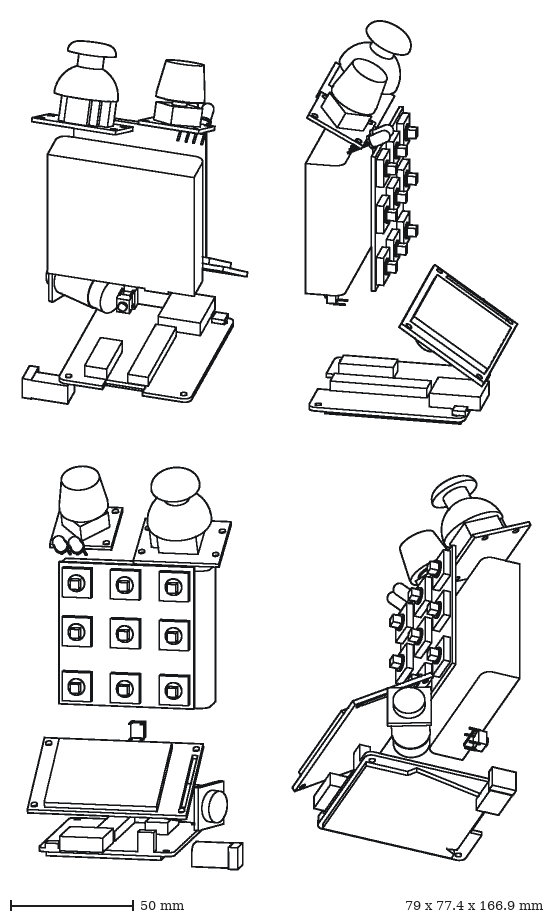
import cadquery as cq
import math

BOARD_THICKNESS = 1.7
MOUNT_HOLE_DIAMETER = 2.5
CONTROL_TILT = 27.6



def tilted_plane(x, y, z, tilt):
    """Plane turned about X so that its normal leans toward +Y; its local y runs toward +Y and down."""
    angle = math.radians(tilt)
    return cq.Plane(origin=(x, y, z), xDir=(1, 0, 0), normal=(0, math.sin(angle), math.cos(angle)))


def block(x_range, y_range, z_range):
    """Axis-aligned box between the given limits."""
    (x0, x1), (y0, y1), (z0, z1) = x_range, y_range, z_range
    return cq.Workplane("XY").box(x1 - x0, y1 - y0, z1 - z0, centered=False).translate((x0, y0, z0))


def raised(plane, height):
    """Copy of a plane moved along its normal."""
    return cq.Plane(origin=plane.toWorldCoords((0, 0, height)), xDir=plane.xDir, normal=plane.zDir)


def end_edges(solid, plane):
    """Edges of the end face that lies farthest along the normal of the plane."""
    return solid.faces(cq.selectors.DirectionMinMaxSelector(plane.zDir, True)).edges()


def disc(plane, diameter, base, height, x=0):
    """Cylinder standing on a plane, starting at the given height above it."""
    return cq.Workplane(raised(plane, base)).center(x, 0).circle(diameter / 2).extrude(height)


def panel(plane, size, hole_spacing, thickness=BOARD_THICKNESS):
    """Board whose top face lies on the plane, with four mounting holes."""
    plate = cq.Workplane(plane).rect(*size).extrude(-thickness)
    holes = (
        cq.Workplane(plane)
        .rect(*hole_spacing, forConstruction=True)
        .vertices()
        .circle(MOUNT_HOLE_DIAMETER / 2)
        .extrude(-thickness)
    )
    return plate.cut(holes)



JOYSTICK_PANEL_SIZE = (35.7, 27.9)
JOYSTICK_HOLE_SPACING = (30.9, 15.4)
JOYSTICK_PLANE = tilted_plane(-12.8, -25.2, 51.2, CONTROL_TILT)
GIMBAL_SIZE = 16.4
GIMBAL_HEIGHT = 10.7
SENSOR_WIDTH = 9.7
SENSOR_DEPTH = 3.7
DOME_DIAMETER = 26.4
STEM_DIAMETER = 10.5
CAP_DIAMETER = 20.0
CAP_BASE = 28.5
CAP_THICKNESS = 4.2
CAP_ROUND = 4.0


def make_joystick():
    """Panel, gimbal box with two side sensors, hemispherical dome, stem and thumb cap."""
    board = panel(JOYSTICK_PLANE, JOYSTICK_PANEL_SIZE, JOYSTICK_HOLE_SPACING)
    sensor_offset = (GIMBAL_SIZE + SENSOR_DEPTH) / 2
    base = cq.Workplane(JOYSTICK_PLANE)
    gimbal = base.rect(GIMBAL_SIZE, GIMBAL_SIZE).extrude(GIMBAL_HEIGHT)
    front_sensor = base.center(0, -sensor_offset).rect(SENSOR_WIDTH, SENSOR_DEPTH).extrude(GIMBAL_HEIGHT)
    side_sensor = base.center(sensor_offset, 0).rect(SENSOR_DEPTH, SENSOR_WIDTH).extrude(GIMBAL_HEIGHT)
    dome_radius = DOME_DIAMETER / 2
    dome_plane = raised(JOYSTICK_PLANE, GIMBAL_HEIGHT)
    dome = (
        cq.Workplane(dome_plane)
        .sphere(dome_radius)
        .intersect(disc(dome_plane, DOME_DIAMETER, 0, dome_radius))
    )
    stem = disc(JOYSTICK_PLANE, STEM_DIAMETER, GIMBAL_HEIGHT, CAP_BASE - GIMBAL_HEIGHT)
    cap = disc(JOYSTICK_PLANE, CAP_DIAMETER, CAP_BASE, CAP_THICKNESS)
    cap = end_edges(cap, JOYSTICK_PLANE).fillet(CAP_ROUND)
    joystick = board
    for piece in (gimbal, front_sensor, side_sensor, dome, stem, cap):
        joystick = joystick.union(piece)
    return joystick



POT_PLANE = tilted_plane(26.7, -22.9, 56.4, CONTROL_TILT)
POT_PANEL_SIZE = (25.7, 25.7)
POT_HOLE_SPACING = (20.7, 20.7)
POT_BOX_SIZE = 14.0
POT_BOX_HEIGHT = 7.5
POT_SHAFT_DIAMETER = 6.0
KNOB_BASE = 10.0
KNOB_COLLAR_HEIGHT = 0.7
KNOB_COLLAR_DIAMETER = 13.0
KNOB_RIM_HEIGHT = 1.7
KNOB_HEIGHT = 15.0
KNOB_DIAMETER = 20.0
KNOB_TOP_DIAMETER = 15.7

LED_TILT = 90 - CONTROL_TILT
LED_X_POSITIONS = (27.5, 34.2)
LED_FLANGE_Y = -9.7
LED_FLANGE_Z = 50.0
LED_DIAMETER = 5.0
LED_TIP_ROUND = 2.3
LED_LENGTH = 9.0
LED_FLANGE_DIAMETER = 5.7
LED_FLANGE_THICKNESS = 1.0
LEG_DIAMETER = 0.72
LEG_LENGTH = 10.0
LEG_SPACING = 3.5


def make_led(x):
    """Domed LED with a flange and two long legs, lying along its tilted axis."""
    plane = tilted_plane(x, LED_FLANGE_Y, LED_FLANGE_Z, LED_TILT)
    led = disc(plane, LED_DIAMETER, 0, LED_LENGTH)
    led = end_edges(led, plane).fillet(LED_TIP_ROUND)
    led = led.union(disc(plane, LED_FLANGE_DIAMETER, 0, LED_FLANGE_THICKNESS))
    for side in (-1, 1):
        led = led.union(disc(plane, LEG_DIAMETER, 0, -LEG_LENGTH, x=side * LEG_SPACING / 2))
    return led


def make_pot_panel():
    """Panel with a potentiometer turned by 45 degrees and the LEDs whose legs meet its lower edge."""
    body = panel(POT_PLANE, POT_PANEL_SIZE, POT_HOLE_SPACING)
    box = cq.Workplane(POT_PLANE.rotated((0, 0, 45))).rect(POT_BOX_SIZE, POT_BOX_SIZE).extrude(POT_BOX_HEIGHT)
    shaft = disc(POT_PLANE, POT_SHAFT_DIAMETER, 0, KNOB_BASE - KNOB_COLLAR_HEIGHT)
    body = body.union(box).union(shaft)
    for x in LED_X_POSITIONS:
        body = body.union(make_led(x))
    return body


def make_knob():
    """Tapered knob with a straight rim and a low collar, sitting on the potentiometer shaft."""
    collar = disc(POT_PLANE, KNOB_COLLAR_DIAMETER, KNOB_BASE - KNOB_COLLAR_HEIGHT, KNOB_COLLAR_HEIGHT)
    rim = disc(POT_PLANE, KNOB_DIAMETER, KNOB_BASE, KNOB_RIM_HEIGHT)
    grip = (
        cq.Workplane(raised(POT_PLANE, KNOB_BASE + KNOB_RIM_HEIGHT))
        .circle(KNOB_DIAMETER / 2)
        .workplane(offset=KNOB_HEIGHT - KNOB_RIM_HEIGHT)
        .circle(KNOB_TOP_DIAMETER / 2)
        .loft()
    )
    return collar.union(rim).union(grip)



BUTTON_BOARD_FRONT = -9.0
BUTTON_BOARD_X = (-21.5, 34.9)
BUTTON_BOARD_Z = (-15.0, 44.0)
BUTTON_COLUMNS = (-13.7, 6.7, 26.9)
BUTTON_ROWS = (36.2, 15.9, -7.0)
BUTTON_BODY_SIZE = 12.0
BUTTON_BODY_DEPTH = 3.0
BUTTON_DISC_DIAMETER = 6.8
BUTTON_DISC_DEPTH = 0.5
BUTTON_KEY_SIZE = 3.7
BUTTON_KEY_DEPTH = 3.7


def make_button_board():
    """Upright board with a grid of push buttons facing +Y."""
    back = BUTTON_BOARD_FRONT + BOARD_THICKNESS
    board = block(BUTTON_BOARD_X, (BUTTON_BOARD_FRONT, back), BUTTON_BOARD_Z)
    ring_reach = BUTTON_BODY_DEPTH + BUTTON_DISC_DEPTH
    key_reach = ring_reach + BUTTON_KEY_DEPTH
    for x in BUTTON_COLUMNS:
        for z in BUTTON_ROWS:
            spot = cq.Workplane(cq.Plane(origin=(x, back, z), xDir=(1, 0, 0), normal=(0, 1, 0)))
            body = spot.rect(BUTTON_BODY_SIZE, BUTTON_BODY_SIZE).extrude(BUTTON_BODY_DEPTH)
            ring = spot.circle(BUTTON_DISC_DIAMETER / 2).extrude(ring_reach)
            key = spot.rect(BUTTON_KEY_SIZE, BUTTON_KEY_SIZE).extrude(key_reach)
            board = board.union(body).union(ring).union(key)
    return board



BATTERY_X = (-24.7, 37.9)
BATTERY_FRONT = -35.9
BATTERY_BACK = -20.0
BATTERY_BOTTOM = -17.2
BATTERY_TOP = 40.0
BATTERY_EDGE_ROUND = 4.2
TAB_X = (16.9, 26.9)
TAB_DEPTH = 3.8
TAB_HEIGHT = 1.0


def make_battery():
    """Flat battery, rounded along its rear upright edges, with a contact tab under it."""
    pack = block(BATTERY_X, (BATTERY_FRONT, BATTERY_BACK), (BATTERY_BOTTOM, BATTERY_TOP))
    pack = pack.edges("|Z and >Y").fillet(BATTERY_EDGE_ROUND)
    tab_y = (BATTERY_FRONT, BATTERY_FRONT + TAB_DEPTH)
    tab = block(TAB_X, tab_y, (BATTERY_BOTTOM - TAB_HEIGHT, BATTERY_BOTTOM))
    return pack.union(tab)



SWITCH_X = 6.7
SWITCH_Z = -29.2
SWITCH_FRONT = -32.9
SWITCH_BACK = -29.2
SWITCH_WIDTH = 5.5
SWITCH_HEIGHT = 6.3
SWITCH_BUTTON_DIAMETER = 3.7
SWITCH_BUTTON_DEPTH = 1.0
SWITCH_LEG_WIDTH = 0.7
SWITCH_LEG_THICKNESS = 0.3
SWITCH_LEG_SPACING = 4.7
SWITCH_LEG_Y = (-30.0, -25.4)


def make_push_switch():
    """Small box with a round button facing -Y and four flat legs running toward +Y."""
    half_width = SWITCH_WIDTH / 2
    half_height = SWITCH_HEIGHT / 2
    switch = block(
        (SWITCH_X - half_width, SWITCH_X + half_width),
        (SWITCH_FRONT, SWITCH_BACK),
        (SWITCH_Z - half_height, SWITCH_Z + half_height),
    )
    face = cq.Plane(origin=(SWITCH_X, SWITCH_FRONT, SWITCH_Z), xDir=(1, 0, 0), normal=(0, -1, 0))
    switch = switch.union(disc(face, SWITCH_BUTTON_DIAMETER, 0, SWITCH_BUTTON_DEPTH))
    for x_side in (-1, 1):
        for z_side in (-1, 1):
            x = SWITCH_X + x_side * SWITCH_LEG_SPACING / 2
            z = SWITCH_Z + z_side * (half_height + SWITCH_LEG_THICKNESS / 2)
            leg = block(
                (x - SWITCH_LEG_WIDTH / 2, x + SWITCH_LEG_WIDTH / 2),
                SWITCH_LEG_Y,
                (z - SWITCH_LEG_THICKNESS / 2, z + SWITCH_LEG_THICKNESS / 2),
            )
            switch = switch.union(leg)
    return switch



DISPLAY_TILT = 34.0
DISPLAY_PLANE = tilted_plane(5.3, 21.7, -38.5, DISPLAY_TILT)
DISPLAY_LENGTH = 66.3
DISPLAY_WIDTH = 41.7
DISPLAY_THICKNESS = 2.0
DISPLAY_HOLE_SPACING = (61.5, 35.5)
SLOT_SIZE = (2.2, 30.0)
SLOT_CENTER = (-30.9, 1.0)
SCREEN_OFFSET = 2.7
SCREEN_LENGTH = 46.9
SCREEN_WIDTH = 37.2
SCREEN_THICKNESS = 2.7
SCREEN_SETBACK = 1.8


def make_display():
    """Tilted display board with a screen block and a cable slot."""
    size = (DISPLAY_LENGTH, DISPLAY_WIDTH)
    board = panel(DISPLAY_PLANE, size, DISPLAY_HOLE_SPACING, DISPLAY_THICKNESS)
    screen = (
        cq.Workplane(DISPLAY_PLANE)
        .center(SCREEN_OFFSET, (DISPLAY_WIDTH - SCREEN_WIDTH) / 2 - SCREEN_SETBACK)
        .rect(SCREEN_LENGTH, SCREEN_WIDTH)
        .extrude(SCREEN_THICKNESS)
    )
    slot = cq.Workplane(DISPLAY_PLANE).center(*SLOT_CENTER).rect(*SLOT_SIZE).extrude(-DISPLAY_THICKNESS)
    return board.cut(slot).union(screen)



PUSH_YAW = 24.0
PUSH_FLANGE_CENTER = (-32.7, 16.0, -50.2)
PUSH_FLANGE_SIZE = 17.9
PUSH_FLANGE_THICKNESS = 2.0
PUSH_CAP_DIAMETER = 13.0
PUSH_CAP_HEIGHT = 3.5
PUSH_BODY_DIAMETER = 15.7
PUSH_BODY_LENGTH = 18.0
PUSH_END_DIAMETER = 15.0
PUSH_END_LENGTH = 6.5


def make_push_button():
    """Square flange with a round cap on its outer side and a stepped barrel behind it."""
    yaw = math.radians(PUSH_YAW)
    plane = cq.Plane(
        origin=PUSH_FLANGE_CENTER,
        xDir=(math.sin(yaw), math.cos(yaw), 0),
        normal=(math.cos(yaw), -math.sin(yaw), 0),
    )
    half = PUSH_FLANGE_THICKNESS / 2
    flange = cq.Workplane(plane).rect(PUSH_FLANGE_SIZE, PUSH_FLANGE_SIZE).extrude(half, both=True)
    cap = disc(plane, PUSH_CAP_DIAMETER, -half, -PUSH_CAP_HEIGHT)
    barrel = disc(plane, PUSH_BODY_DIAMETER, half, PUSH_BODY_LENGTH)
    end = disc(plane, PUSH_END_DIAMETER, half + PUSH_BODY_LENGTH, PUSH_END_LENGTH)
    return flange.union(cap).union(barrel).union(end)



MAIN_TOP = -67.8
MAIN_X = (-20.5, 35.9)
MAIN_Y = (-35.4, 29.7)
MAIN_CORNER_RADIUS = 3.0
MAIN_HOLE_INSET = 3.7
NOTCH_X = (-1.3, 15.7)
NOTCH_DEPTH = 5.0
LOWER_THICKNESS = 2.0

MAIN_COMPONENTS = (
    ((7.8, 25.9), (13.4, 34.5), -61.7),
    ((-12.5, -5.7), (25.0, 29.7), -59.5),
    ((7.8, 16.5), (-30.0, 10.3), -63.5),
    ((-10.5, -1.2), (-30.0, -7.3), -62.7),
    ((27.5, 32.9), (24.4, 29.7), -65.8),
)

LOWER_OUTLINE = (
    (-10.3, -28.9),
    (26.5, -28.9),
    (27.4, -24.7),
    (29.9, -28.9),
    (32.9, -28.9),
    (32.9, 27.9),
    (-15.0, 27.9),
    (-15.0, 9.7),
    (-18.7, 7.2),
)


def make_main_board():
    """Notched circuit board with rounded corners, components on top and a smaller layer below."""
    bottom = MAIN_TOP - BOARD_THICKNESS
    board = block(MAIN_X, MAIN_Y, (bottom, MAIN_TOP)).edges("|Z").fillet(MAIN_CORNER_RADIUS)
    board = board.cut(block(NOTCH_X, (MAIN_Y[0], MAIN_Y[0] + NOTCH_DEPTH), (bottom, MAIN_TOP)))
    for x in (MAIN_X[0] + MAIN_HOLE_INSET, MAIN_X[1] - MAIN_HOLE_INSET):
        for y in (MAIN_Y[0] + MAIN_HOLE_INSET, MAIN_Y[1] - MAIN_HOLE_INSET):
            hole = cq.Workplane("XY", origin=(x, y, bottom)).circle(MOUNT_HOLE_DIAMETER / 2)
            board = board.cut(hole.extrude(BOARD_THICKNESS))
    for x_range, y_range, top in MAIN_COMPONENTS:
        board = board.union(block(x_range, y_range, (MAIN_TOP, top)))
    lower = cq.Workplane("XY", origin=(0, 0, bottom)).polyline(LOWER_OUTLINE).close()
    return board.union(lower.extrude(-LOWER_THICKNESS))



CONNECTOR_FRONT = -29.2
FLANGE_X = (-37.4, -33.5)
FLANGE_BACK = -18.7
FLANGE_Z = (-83.5, -74.3)
BODY_END = -18.0
BODY_BACK = -19.4
BODY_Z = (-83.1, -74.5)
BODY_EDGE_ROUND = 4.2


def make_connector():
    """Long box with one rounded top edge behind a slightly larger flange."""
    body = block((FLANGE_X[1], BODY_END), (CONNECTOR_FRONT, BODY_BACK), BODY_Z)
    body = body.edges("|X and >Y and >Z").fillet(BODY_EDGE_ROUND)
    flange = block(FLANGE_X, (CONNECTOR_FRONT, FLANGE_BACK), FLANGE_Z)
    return body.union(flange)



joystick = make_joystick()
pot_panel = make_pot_panel()
knob = make_knob()
button_board = make_button_board()
battery = make_battery()
push_switch = make_push_switch()
display = make_display()
push_button = make_push_button()
main_board = make_main_board()
connector = make_connector()

bodies = (
    joystick, pot_panel, knob, button_board, battery,
    push_switch, display, push_button, main_board, connector,
)
result = cq.Compound.makeCompound([body.val() for body in bodies])